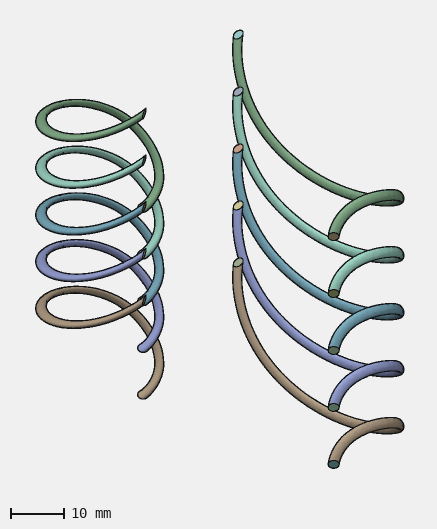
import cadquery as cq
import math

strand_count = 5
strand_pitch = 15.0

inner_radius = 4.4
middle_radius = 9.1
outer_radius = 15.3
strand_rise = 55.2
quarter = math.pi / 2
last_turn = math.radians(87)
outer_center_y = 3.1
rod_diameter = 2.1
points_per_turn = 3


def spiral_turns():
    """Center X, center Y, radius, start angle and swept angle of each arc, from the foot up."""
    middle_center_x = middle_radius - outer_radius
    inner_center_y = outer_center_y + middle_radius - inner_radius
    return [
        (middle_center_x, inner_center_y, inner_radius, 0.0, quarter),
        (middle_center_x, outer_center_y, middle_radius, quarter, quarter),
        (0.0, outer_center_y, outer_radius, 2 * quarter, quarter),
        (0.0, outer_center_y, outer_radius, 3 * quarter, last_turn),
    ]


def centerline_points():
    """Points of one strand's centreline, climbing evenly with the length run in plan."""
    turns = spiral_turns()
    plan_length = sum(radius * sweep for _, _, radius, _, sweep in turns)
    climb_per_length = strand_rise / plan_length
    first_x, first_y, first_radius, _, _ = turns[0]
    points = [(first_x + first_radius, first_y, 0.0)]
    base_z = 0.0
    for center_x, center_y, radius, start_angle, sweep in turns:
        turn_climb = climb_per_length * radius * sweep
        for step in range(1, points_per_turn + 1):
            fraction = step / points_per_turn
            angle = start_angle + fraction * sweep
            x = center_x + radius * math.cos(angle)
            y = center_y + radius * math.sin(angle)
            points.append((x, y, base_z + fraction * turn_climb))
        base_z += turn_climb
    return points


def make_strand(foot_z):
    """One rod: a horizontal round foot face swept up the spiral centreline."""
    points = centerline_points()
    centerline = cq.Workplane("XY").spline(points)
    foot_x, foot_y, _ = points[0]
    rod = cq.Workplane("XY").center(foot_x, foot_y).circle(rod_diameter / 2).sweep(centerline)
    return rod.translate((0, 0, foot_z))


strands = [make_strand(index * strand_pitch) for index in range(strand_count)]

result = cq.Compound.makeCompound([strand.val() for strand in strands])